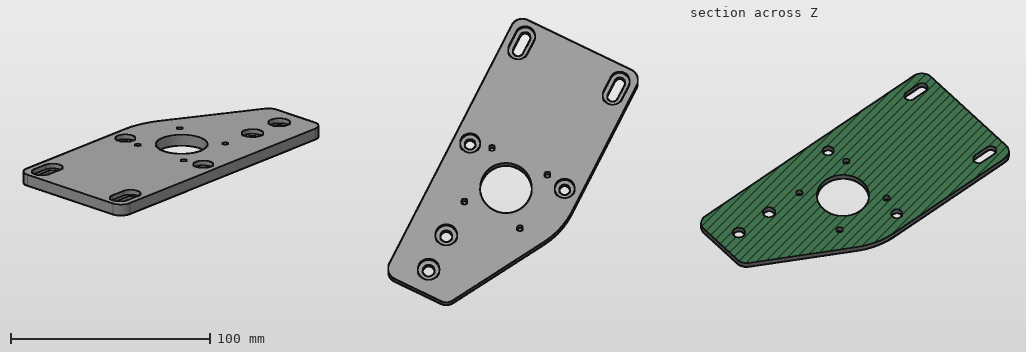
import cadquery as cq
import math

length = 150
width = 70.0
thickness = 6
top_edge_start = 34.6
slant_angle = 60
corner_radius = 6
shoulder_radius = 40.0

motor_x = width / 2
motor_y = 83.0
motor_bore = 26.0
motor_screw_pitch = 31.0
motor_screw_diameter = 3

counterbore_depth = 2.5
side_inset = 8.5
side_hole_y = 70.0
side_hole_diameter = 5.4
side_counterbore = 10.0
upper_hole_x = 51
upper_hole_ys = (118.0, 138)
upper_hole_diameter = 6
upper_counterbore = 11.0
slot_y = 12
slot_travel = 8.0

side_xs = (side_inset, width - side_inset)


def plate():
    shoulder_y = length - top_edge_start * math.tan(math.radians(slant_angle))
    outline = [(0, 0), (width, 0), (width, length), (top_edge_start, length), (0, shoulder_y)]
    body = cq.Workplane("XY").polyline(outline).close().extrude(thickness)
    shoulder = cq.selectors.NearestToPointSelector((0, shoulder_y, thickness / 2))
    corners = cq.selectors.StringSyntaxSelector("|Z") - shoulder
    body = body.edges(corners).fillet(corner_radius)
    return body.edges(shoulder).fillet(shoulder_radius)


def counterbored_holes(body, points, diameter, counterbore):
    top = body.faces(">Z").workplane(origin=(0, 0, thickness))
    return top.pushPoints(points).cboreHole(diameter, counterbore, counterbore_depth)


def slots(body, slot_width, depth):
    cutter = (
        cq.Workplane("XY", origin=(0, 0, thickness))
        .pushPoints([(x, slot_y) for x in side_xs])
        .slot2D(slot_travel + slot_width, slot_width, 90)
        .extrude(-depth)
    )
    return body.cut(cutter)


def motor_mount(body):
    top = body.faces(">Z").workplane(origin=(motor_x, motor_y, thickness))
    body = top.hole(motor_bore)
    top = body.faces(">Z").workplane(origin=(motor_x, motor_y, thickness))
    screws = top.rect(motor_screw_pitch, motor_screw_pitch, forConstruction=True).vertices()
    return screws.hole(motor_screw_diameter)


result = plate()
result = motor_mount(result)
result = counterbored_holes(
    result, [(x, side_hole_y) for x in side_xs], side_hole_diameter, side_counterbore
)
result = counterbored_holes(
    result, [(upper_hole_x, y) for y in upper_hole_ys], upper_hole_diameter, upper_counterbore
)
result = slots(result, side_hole_diameter, thickness)
result = slots(result, side_counterbore, counterbore_depth)